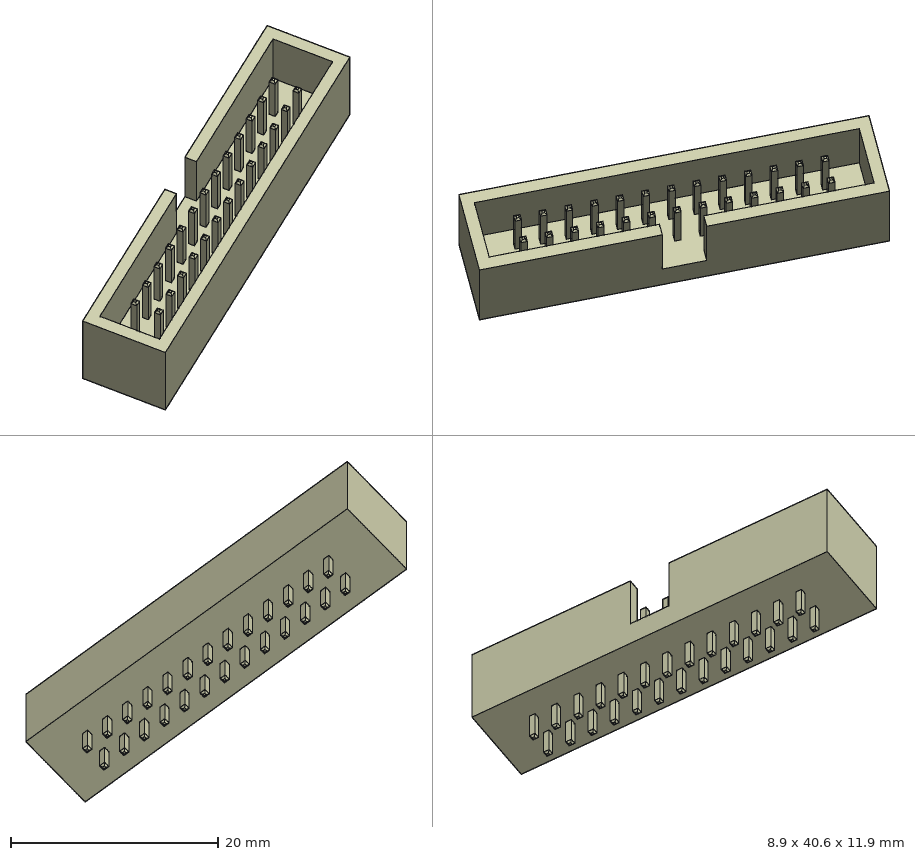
import cadquery as cq


pitch = 2.54
columns = 2
rows = 13

housing_width = 8.9
end_margin = 2 * pitch
housing_length = (rows - 1) * pitch + 2 * end_margin
housing_height = 8.9
wall = 1.25
cavity_depth = 6.1
cavity_width = housing_width - 2 * wall
cavity_length = housing_length - 2 * wall
floor_height = housing_height - cavity_depth

notch_width = 4.4

pin_size = 0.64
pin_tip_taper = 0.2
pin_tail_length = 3.0
pin_top_recess = 0.9
pin_length = pin_tail_length + housing_height - pin_top_recess


def make_housing():
    """Block with an open-topped cavity and a keying notch level with its floor."""
    block = cq.Workplane("XY").box(
        housing_width, housing_length, housing_height, centered=(True, True, False)
    )
    floor_plane = cq.Workplane("XY").workplane(offset=floor_height)
    cavity = floor_plane.rect(cavity_width, cavity_length).extrude(cavity_depth)
    notch = (
        floor_plane.center(-(housing_width - wall) / 2, 0)
        .rect(wall, notch_width)
        .extrude(cavity_depth)
    )
    return block.cut(cavity).cut(notch)


def make_pin():
    """One square pin on the Z axis, tapered on all four sides at both ends."""
    return (
        cq.Workplane("XY")
        .workplane(offset=-pin_tail_length)
        .rect(pin_size, pin_size)
        .extrude(pin_length)
        .faces("<Z or >Z")
        .edges()
        .chamfer(pin_tip_taper)
    )


def add_pins(housing):
    """Join a pin to the housing at every position of the contact grid."""
    pin = make_pin().val()
    grid = cq.Workplane("XY").rarray(pitch, pitch, columns, rows)
    pins = grid.eachpoint(lambda location: pin.moved(location))
    return housing.union(pins)


result = add_pins(make_housing())